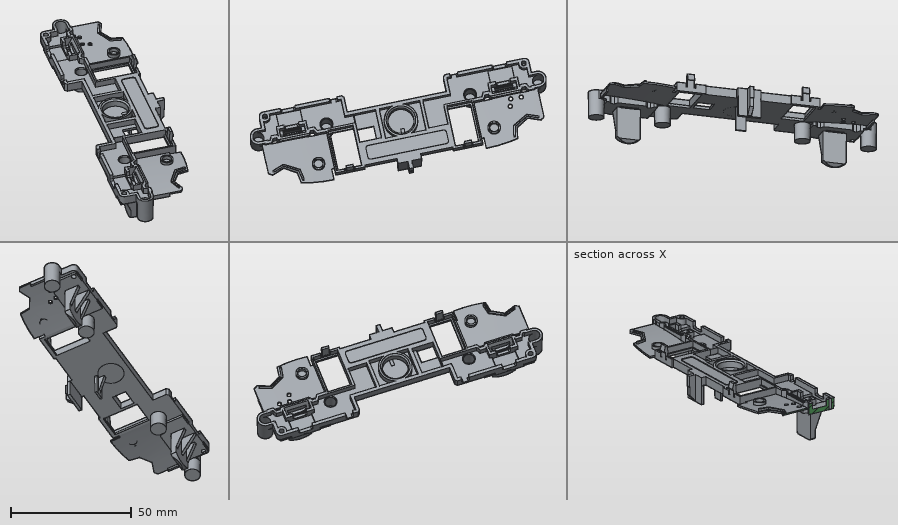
import cadquery as cq

LENGTH = 125.89
DEPTH = 36.6
TAB_TOP = 4.2
HEIGHT = 24.15
CLIP_BOTTOM = TAB_TOP - HEIGHT

RIM_BOTTOM = -3.8
FLOOR_TOP = -2.7
SLAB_BOTTOM = -5.0
WALL = 1.4

CLEARANCE = 1
RIM = (RIM_BOTTOM, 0)
POCKET = (FLOOR_TOP, CLEARANCE)
THROUGH = (SLAB_BOTTOM - CLEARANCE, CLEARANCE)

TRAY_OUTER_X = -57.45
TRAY_INNER_X = -21.1
TRAY_BACK_Y = 13.75
TRAY_INNER_BACK_Y = 12.55
TRAY_CORNER_RADIUS = 2.0
TRAY_CHAMFER = 0.9
BEAM_FRONT_Y = 7.25
BEAM_INNER_FRONT_Y = 8.75
BEAM_BACK_Y = 31.2
BEAM_STEP_HALF = 5.05
BEAM_STEP_BACK_Y = 33.4
FRAME_OUTER_X = -31.3
FRAME_BACK_Y = 32.0
WINDOW_X = (-29.9, -19.95)
WINDOW_Y = (14.1, 30.3)
WINDOW_LEDGE = 0.75
WINDOW_INNER_WALL = 1.2

LEFT_POCKET_X = (-18.85, -10.7)
RIGHT_POCKET_X = (9.4, 18.7)
SIDE_POCKET_Y = (BEAM_INNER_FRONT_Y, 21.1)
CENTER_POCKET_X = (-9.4, 7.8)
CENTER_POCKET_Y = (BEAM_INNER_FRONT_Y, 21.7)
PORT_X = (11.5, RIGHT_POCKET_X[1])
PORT_Y = (14.9, SIDE_POCKET_Y[1])
RING_CENTER = (0, 15.4)
RING_RADIUS = 7.0
RING_BORE = 5.45
RING_FLOOR = -3.4
RING_COUNTERSINK = 6.15
LABEL_X = (-17.5, 16.8)
LABEL_Y = (23.2, 29.2)
LABEL_DEPTH = 0.3
LABEL_RADIUS = 1.2

BOSS_Y = 9.95
BOSS_RADIUS = 3.4
BOSS_DRAFT = 0.7
BOSS_BOTTOM = -11.1
BOSS_BORE = 2.3
BOSS_BORE_BOTTOM = -10.0
EAR_X = BOSS_RADIUS - LENGTH / 2
INNER_BOSS_X = -30.6
BOSS_COUNTERSINK = 2.7
CORNER_PIN = (-55.1, 2.1)
CORNER_PIN_RADIUS = 2.1
CORNER_PIN_BORE = 1.0

CLIP_X = -45.05
CLIP_WIDTH = 10.15
CLIP_FRONT_Y = 6.75
CLIP_BACK_Y = 9.15
CLIP_ARC_RISE = 1.9
CLIP_BEVEL = 1.2
CLIP_BEVEL_START_Y = 7.55
CLIP_RIB_WIDTH = 1.4
CLIP_RIB_TIP = -14.6
CLIP_SIDE_RIB_FRONT_Y = 2.8
CLIP_BOX_WIDTH = 12.6
CLIP_BOX_Y = (7.3, 13.3)

WING_OUTER_X = -58.7
WING_TOP = -1.5
WING_DROP = 1.5
WING_THICKNESS = 0.8


def box(x_range, y_range, z_range):
    """Axis-aligned block between the given limits."""
    size = [limits[1] - limits[0] for limits in (x_range, y_range, z_range)]
    corner = (x_range[0], y_range[0], z_range[0])
    return cq.Workplane("XY").box(*size, centered=False).translate(corner)


def prism(points, z_range):
    """Closed XY outline extruded between two heights."""
    outline = cq.Workplane("XY", origin=(0, 0, z_range[0])).polyline(points).close()
    return outline.extrude(z_range[1] - z_range[0])


def side_prism(points, x_range):
    """Closed YZ outline extruded between two X positions."""
    outline = cq.Workplane("YZ", origin=(x_range[0], 0, 0)).polyline(points).close()
    return outline.extrude(x_range[1] - x_range[0])


def cylinder(center, radius, z_range):
    return cq.Workplane("XY", origin=(*center, z_range[0])).circle(radius).extrude(z_range[1] - z_range[0])


def around(middle, width):
    return (middle - width / 2, middle + width / 2)


def mirrored(shape):
    return shape.union(shape.mirror("YZ"))


SCALLOP_X = (-53.0, -37.2)
SCALLOP_MOUTH = 3.5
SCALLOP_BASE = 1.4
SCALLOP_FLOOR_Y = 12.05
SCALLOP_WALL_MOUTH = 5.6
SCALLOP_WALL_BASE = 2.6
SCALLOP_WALL_Y = 10.75
EAR_ARM_FRONT_Y = 6.6


def trapezoid(x, mouth, base, mouth_y, base_y, z_range):
    points = [
        (x - mouth / 2, mouth_y),
        (x + mouth / 2, mouth_y),
        (x + base / 2, base_y),
        (x - base / 2, base_y),
    ]
    return prism(points, z_range)


def frame_outline():
    tray = box((TRAY_OUTER_X, TRAY_INNER_X), (0, TRAY_BACK_Y), RIM)
    tray = tray.edges("|Z and <X and <Y").fillet(TRAY_CORNER_RADIUS)
    tray = tray.edges("|Z and >X and <Y").chamfer(TRAY_CHAMFER)
    ear_arm = box((EAR_X, TRAY_OUTER_X + WALL), (EAR_ARM_FRONT_Y, BOSS_Y + BOSS_RADIUS), RIM)
    beam = box((TRAY_INNER_X - WALL, 0), (BEAM_FRONT_Y, BEAM_BACK_Y), RIM)
    window_frame_x = (FRAME_OUTER_X, WINDOW_X[1] + WINDOW_INNER_WALL)
    window_frame = box(window_frame_x, (TRAY_INNER_BACK_Y, FRAME_BACK_Y), RIM)
    return tray.union(ear_arm).union(beam).union(window_frame).union(boss(EAR_X, 0))


def cut_tray(body):
    """Hollow the tray, then stand the scallop walls and the corner pin block in it."""
    pocket = box((TRAY_OUTER_X + WALL, TRAY_INNER_X - WALL), (WALL, TRAY_INNER_BACK_Y), POCKET)
    ear_channel = box((EAR_X, TRAY_OUTER_X + WALL), (BOSS_Y - BOSS_BORE, BOSS_Y + BOSS_BORE), POCKET)
    channel_x = (TRAY_INNER_X - WALL, LEFT_POCKET_X[0])
    beam_channel = box(channel_x, (BEAM_INNER_FRONT_Y, TRAY_INNER_BACK_Y), POCKET)
    body = body.cut(pocket).cut(ear_channel).cut(beam_channel)
    for x in SCALLOP_X:
        wall = trapezoid(x, SCALLOP_WALL_MOUTH, SCALLOP_WALL_BASE, TRAY_BACK_Y, SCALLOP_WALL_Y, RIM)
        body = body.union(wall)
    pin_block = cylinder(CORNER_PIN, CORNER_PIN_RADIUS, RIM)
    fill_y = (CORNER_PIN[1], CORNER_PIN[1] + CORNER_PIN_RADIUS)
    corner_fill = box((TRAY_OUTER_X + WALL / 2, CORNER_PIN[0]), fill_y, RIM)
    return body.union(pin_block).union(corner_fill)


def cut_window(body):
    upper_x = (WINDOW_X[0] - WINDOW_LEDGE, WINDOW_X[1])
    upper_y = (WINDOW_Y[0] - WINDOW_LEDGE, WINDOW_Y[1] + WINDOW_LEDGE)
    body = body.cut(box(upper_x, upper_y, POCKET))
    return body.cut(box(WINDOW_X, WINDOW_Y, THROUGH))


SLAB_X = (-56.2, -34.0)
SLAB_FRONT_Y = 0.35
SLAB_BUMP_WIDTH = 12.6
RECESS_WIDTH = 10.2
CLIP_NOTCH_WIDTH = 6.2
SMALL_NOTCH_X = (-27.3, -24.0)
NOTCH_CHAMFER = 0.6


def floor_slab():
    slab = box(SLAB_X, (SLAB_FRONT_Y, TRAY_BACK_Y), (SLAB_BOTTOM, RIM_BOTTOM))
    bump = box(around(CLIP_X, SLAB_BUMP_WIDTH), (0, TRAY_BACK_Y), (SLAB_BOTTOM, RIM_BOTTOM))
    return slab.union(bump)


def front_notch(x_range):
    notch = box(x_range, (0, WALL), POCKET)
    return notch.edges("|Y and <Z").chamfer(NOTCH_CHAMFER)


def clip_box():
    """Solid box above the clip, and its hollow with a sloped, arched rear wall and a low front."""
    wall = 0.95
    cavity_floor = -3.9
    cavity_y = (8.6, 12.2)
    wedge_foot_y = 10.35
    slot_width = 7.6
    slot_y = (8.75, 10.15)
    arch_y = (slot_y[1], 11.4)
    arch_z = (cavity_floor, CLEARANCE)
    arch_width = 8.2
    arch_radius = 1.8
    step_front_y = 13.0
    step_depth = 0.3
    x_range = around(CLIP_X, CLIP_BOX_WIDTH)
    shell = box(x_range, CLIP_BOX_Y, RIM)
    cavity = box((x_range[0] + wall, x_range[1] - wall), cavity_y, (cavity_floor, CLEARANCE))
    wedge_points = [(cavity_y[1], 0), (cavity_y[1], cavity_floor), (wedge_foot_y, cavity_floor)]
    cavity = cavity.cut(side_prism(wedge_points, x_range))
    arch = box(around(CLIP_X, arch_width), arch_y, arch_z).edges("|Y and <Z").fillet(arch_radius)
    opening = box(around(CLIP_X, CLIP_NOTCH_WIDTH), (CLIP_BOX_Y[0], cavity_y[0]), POCKET)
    opening = opening.edges("|Y and <Z").chamfer(NOTCH_CHAMFER)
    slot = box(around(CLIP_X, slot_width), slot_y, (SLAB_BOTTOM, 0))
    rear_step = box(x_range, (step_front_y, TRAY_BACK_Y), (-step_depth, CLEARANCE))
    return shell, cavity.union(arch).union(opening).union(slot).union(rear_step)


def clip_leg():
    side_bottom = CLIP_BOTTOM + CLIP_ARC_RISE
    half = CLIP_WIDTH / 2
    leg = (
        cq.Workplane("XZ", origin=(CLIP_X, CLIP_FRONT_Y, 0))
        .moveTo(-half, SLAB_BOTTOM)
        .lineTo(-half, side_bottom)
        .threePointArc((0, CLIP_BOTTOM), (half, side_bottom))
        .lineTo(half, SLAB_BOTTOM)
        .close()
        .extrude(CLIP_FRONT_Y - CLIP_BACK_Y)
    )
    bevel_points = [
        (CLIP_BEVEL_START_Y, CLIP_BOTTOM),
        (CLIP_BACK_Y, CLIP_BOTTOM + CLIP_BEVEL),
        (CLIP_BACK_Y, CLIP_BOTTOM),
    ]
    return leg.cut(side_prism(bevel_points, around(CLIP_X, CLIP_WIDTH)))


def clip_ribs():
    side_offset = (CLIP_WIDTH - CLIP_RIB_WIDTH) / 2
    ribs = cq.Workplane("XY")
    for offset in (-side_offset, 0, side_offset):
        front_y = CLIP_SIDE_RIB_FRONT_Y if offset else SLAB_FRONT_Y
        points = [(front_y, SLAB_BOTTOM), (CLIP_FRONT_Y, SLAB_BOTTOM), (CLIP_FRONT_Y, CLIP_RIB_TIP)]
        ribs = ribs.union(side_prism(points, around(CLIP_X + offset, CLIP_RIB_WIDTH)))
    return ribs


def boss(x, top_z):
    top = cq.Workplane("XY", origin=(x, BOSS_Y, top_z)).circle(BOSS_RADIUS)
    return top.extrude(BOSS_BOTTOM - top_z, taper=BOSS_DRAFT)


def boss_bore(x):
    return cylinder((x, BOSS_Y), BOSS_BORE, (BOSS_BORE_BOTTOM, CLEARANCE))


def countersink(center, top_radius, bore_radius, top_z):
    """45 degree cone narrowing downwards from top_radius to bore_radius."""
    cone = cq.Workplane("XY", origin=(*center, top_z)).circle(top_radius)
    return cone.extrude(bore_radius - top_radius, taper=45)


WING_BOSS = (-37.4, 26.2)
WING_BOSS_RADIUS = 2.6
WING_BOSS_BORE = 1.9
WING_BOSS_TOP = -1.0
WING_BOSS_FLOOR = 0.3
WING_SKIRT_BOTTOM = -3.5
WING_SIDE_BACK_Y = 26.0
WING_BACK_ARC = (-39.4, 33.65)
WING_LIP_WIDTH = 0.75
WING_LIP_HEIGHT = 0.5
WING_LIP_PATH = [(-56.3, 25.6), (-51.8, 23.95), (-45.75, 27.4), (-45.0, 31.5)]
WING_BACK_Y = 33.85
WING_SKIRT_BACK_Y = 20.9
WING_HOLES = [(-45.9, 18.5), (-51.2, 15.6), (-46.75, 15.4)]
WING_HOLE_RADIUS = 0.85
NOTCH_TIP = (-57.1, 27.0)
NOTCH_VALLEY = (-51.9, 25.0)
NOTCH_KNEE = (-46.8, 28.1)
NOTCH_TOP = (-46.1, 32.7)
WING_SLOT_X = -32.4
WING_SLOT_Y = 29.2


def wing_shell():
    """Curved plate: level at the outer edge, dropping along an arc towards the window."""
    middle_x = (WING_OUTER_X + FRAME_OUTER_X) / 2
    low = WING_TOP - WING_DROP
    middle_z = WING_TOP - WING_DROP / 4
    return (
        cq.Workplane("XZ")
        .moveTo(WING_OUTER_X, WING_TOP)
        .threePointArc((middle_x, middle_z), (FRAME_OUTER_X, low))
        .lineTo(FRAME_OUTER_X, low - WING_THICKNESS)
        .threePointArc((middle_x, middle_z - WING_THICKNESS), (WING_OUTER_X, WING_TOP - WING_THICKNESS))
        .close()
        .extrude(-DEPTH)
    )


def wing_outline(z_range):
    outline = (
        cq.Workplane("XY", origin=(0, 0, z_range[0]))
        .moveTo(FRAME_OUTER_X, TRAY_INNER_BACK_Y)
        .lineTo(WING_OUTER_X, TRAY_INNER_BACK_Y)
        .lineTo(WING_OUTER_X, WING_SIDE_BACK_Y)
        .lineTo(*NOTCH_TIP)
        .lineTo(*NOTCH_VALLEY)
        .lineTo(*NOTCH_KNEE)
        .lineTo(*NOTCH_TOP)
        .threePointArc(WING_BACK_ARC, (WING_SLOT_X, WING_BACK_Y))
        .lineTo(WING_SLOT_X, WING_SLOT_Y)
        .lineTo(FRAME_OUTER_X, WING_SLOT_Y)
        .close()
    )
    return outline.extrude(z_range[1] - z_range[0])


def wing_lip():
    """Raised lip following the notched edge of the wing."""
    lip = cq.Workplane("XY", origin=(0, 0, WING_TOP - WING_THICKNESS)).polyline(WING_LIP_PATH)
    lip = lip.offset2D(WING_LIP_WIDTH / 2)
    return lip.extrude(WING_THICKNESS + WING_LIP_HEIGHT)


def wing():
    plate = wing_shell().intersect(wing_outline((SLAB_BOTTOM, 0)))
    skirt = box(
        (WING_OUTER_X, WING_OUTER_X + WING_THICKNESS),
        (TRAY_INNER_BACK_Y, WING_SKIRT_BACK_Y),
        (WING_SKIRT_BOTTOM, WING_TOP - WING_THICKNESS / 2),
    )
    ring_bottom = WING_TOP - WING_DROP
    ring = cylinder(WING_BOSS, WING_BOSS_RADIUS, (ring_bottom, WING_BOSS_TOP))
    bore = cylinder(WING_BOSS, WING_BOSS_BORE, (ring_bottom + WING_BOSS_FLOOR, CLEARANCE))
    return plate.union(skirt).union(ring).cut(bore)


TAB_X = (-26.7, -23.7)
TAB_FRONT_Y = 30.6
TAB_TIP_Y = (30.9, 31.9)
TAB_HOOK_Y = 32.5
TAB_HOOK_Z = (1.4, 2.0)
TAB_ROOT = -1.2
TAB_SLIT = 0.6
TAB_SLIT_BOTTOM = -1.7


def snap_tab():
    points = [
        (TAB_FRONT_Y, TAB_ROOT),
        (TAB_FRONT_Y, 0),
        (TAB_TIP_Y[0], TAB_TOP),
        (TAB_TIP_Y[1], TAB_TOP),
        (TAB_HOOK_Y, TAB_HOOK_Z[1]),
        (TAB_HOOK_Y, TAB_HOOK_Z[0]),
        (FRAME_BACK_Y, TAB_HOOK_Z[0]),
        (FRAME_BACK_Y, TAB_ROOT),
    ]
    return side_prism(points, TAB_X)


def tab_slits():
    slit_y = (WINDOW_Y[1], FRAME_BACK_Y + CLEARANCE)
    slit_z = (TAB_SLIT_BOTTOM, CLEARANCE)
    left = box((TAB_X[0] - TAB_SLIT, TAB_X[0]), slit_y, slit_z)
    right = box((TAB_X[1], TAB_X[1] + TAB_SLIT), slit_y, slit_z)
    return left.union(right)


def cut_beam(body):
    body = body.union(box((-BEAM_STEP_HALF, BEAM_STEP_HALF), (LABEL_Y[1], BEAM_STEP_BACK_Y), RIM))
    body = body.cut(box(LEFT_POCKET_X, SIDE_POCKET_Y, POCKET))
    body = body.cut(box(RIGHT_POCKET_X, SIDE_POCKET_Y, POCKET))
    body = body.cut(box(PORT_X, PORT_Y, THROUGH))
    body = body.cut(box(CENTER_POCKET_X, CENTER_POCKET_Y, POCKET))
    body = body.union(cylinder(RING_CENTER, RING_RADIUS, RIM))
    bore = cylinder(RING_CENTER, RING_BORE, (RING_FLOOR, CLEARANCE))
    bore = bore.union(countersink(RING_CENTER, RING_COUNTERSINK, RING_BORE, 0))
    label = box(LABEL_X, LABEL_Y, (-LABEL_DEPTH, CLEARANCE)).edges("|Z").fillet(LABEL_RADIUS)
    return body.cut(bore).cut(label)


def rear_hook():
    """Plate hanging from the back of the beam, stiffened by a central fin."""
    plate_half = 4.95
    plate_front_y = 32.1
    plate_bottom = -12.2
    fin_half = 0.85
    fin_step = 0.3
    fin_step_z = -5.0
    fin_slope_z = (-8.8, -11.8)
    plate = box((-plate_half, plate_half), (plate_front_y, BEAM_STEP_BACK_Y), (plate_bottom, 0))
    fin_points = [
        (BEAM_STEP_BACK_Y, 0),
        (DEPTH, 0),
        (DEPTH, fin_step_z),
        (DEPTH - fin_step, fin_step_z),
        (DEPTH - fin_step, fin_slope_z[0]),
        (BEAM_STEP_BACK_Y, fin_slope_z[1]),
    ]
    return plate.union(side_prism(fin_points, (-fin_half, fin_half)))


def middle_prong():
    """Thin tapered tongue under the beam with a triangular gusset in front."""
    tongue_half = 2.2
    tongue_front_y = 20.85
    tongue_root_y = 22.05
    tongue_tip_y = 21.7
    tongue_tip = -14.1
    gusset_half = 0.7
    gusset_front_y = 18.15
    gusset_tip = -12.2
    tongue_points = [
        (tongue_front_y, RIM_BOTTOM),
        (tongue_root_y, RIM_BOTTOM),
        (tongue_tip_y, tongue_tip),
        (tongue_front_y, tongue_tip),
    ]
    gusset_points = [
        (gusset_front_y, RIM_BOTTOM),
        (tongue_front_y, RIM_BOTTOM),
        (tongue_front_y, gusset_tip),
    ]
    tongue = side_prism(tongue_points, (-tongue_half, tongue_half))
    return tongue.union(side_prism(gusset_points, (-gusset_half, gusset_half)))


def left_half():
    body = cut_window(cut_tray(frame_outline()))
    shell, clip_cavity = clip_box()
    body = body.union(floor_slab()).union(wing()).union(wing_lip()).union(shell)
    body = body.union(boss(INNER_BOSS_X, FLOOR_TOP))
    body = body.cut(box(around(CLIP_X, RECESS_WIDTH), (WALL, CLIP_BOX_Y[0]), (RIM_BOTTOM, CLEARANCE)))
    body = body.cut(clip_cavity)
    body = body.union(clip_leg()).union(clip_ribs())
    body = body.cut(front_notch(around(CLIP_X, CLIP_NOTCH_WIDTH))).cut(front_notch(SMALL_NOTCH_X))
    for x in SCALLOP_X:
        body = body.cut(trapezoid(x, SCALLOP_MOUTH, SCALLOP_BASE, TRAY_BACK_Y, SCALLOP_FLOOR_Y, THROUGH))
    body = body.cut(boss_bore(EAR_X)).cut(boss_bore(INNER_BOSS_X))
    body = body.cut(countersink((INNER_BOSS_X, BOSS_Y), BOSS_COUNTERSINK, BOSS_BORE, FLOOR_TOP))
    body = body.cut(cylinder(CORNER_PIN, CORNER_PIN_BORE, THROUGH))
    return body.cut(tab_slits()).union(snap_tab())


result = cut_beam(mirrored(left_half()))
result = result.union(rear_hook()).union(middle_prong())
for hole in WING_HOLES:
    result = result.cut(cylinder(hole, WING_HOLE_RADIUS, THROUGH))